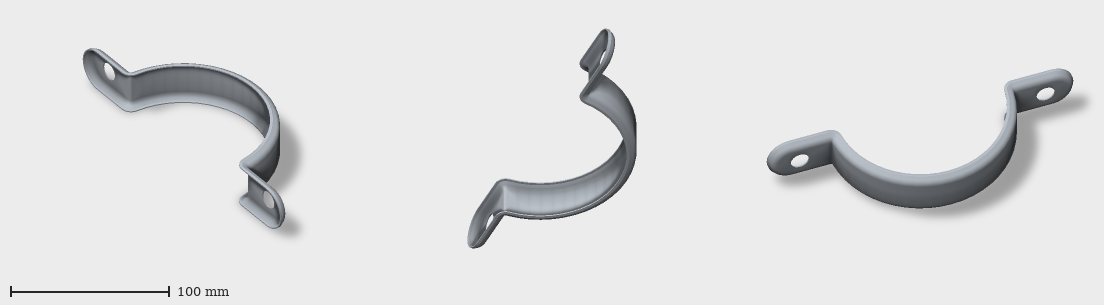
import cadquery as cq
import math

length = 204.0
width = 30.0
height = 62.2

depth = 6.3
sheet = 0.8
taper_depth = 4.5
taper_angle = math.radians(30)
edge_radius = 4.0

arch_radius = 61.0
bend_radius = 0.8

hole_diameter = 12.0
hole_spacing = 164.0

bend_rise = depth + bend_radius - (height - arch_radius)
bend_x = math.sqrt((arch_radius + bend_radius) ** 2 - bend_rise ** 2)
turn_angle = 90 - math.degrees(math.asin(bend_rise / (arch_radius + bend_radius)))

half_width = width / 2
leg_end_x = length / 2 - half_width


def half_section(start_x, back_y):
    """Half of the channel section, standing across the strap with its back at Y = `back_y`.

    Local x runs from the back toward the open side and local y runs along Z from the mid-plane.
    """
    taper_run = taper_depth * math.tan(taper_angle)
    corner_turn = math.pi / 2 - taper_angle
    round_center_y = half_width - taper_run - edge_radius * math.tan(corner_turn / 2)

    def on_rounding(radius, angle):
        return edge_radius - radius * math.cos(angle), round_center_y + radius * math.sin(angle)

    inner_radius = edge_radius - sheet
    inner_rim_start = taper_depth + sheet * math.tan(taper_angle / 2)
    plane = cq.Plane(origin=(start_x, back_y, 0), xDir=(0, -1, 0), normal=(-1, 0, 0))
    return (
        cq.Workplane(plane)
        .lineTo(0, round_center_y)
        .threePointArc(on_rounding(edge_radius, corner_turn / 2), on_rounding(edge_radius, corner_turn))
        .lineTo(taper_depth, half_width)
        .lineTo(depth, half_width)
        .lineTo(depth, half_width - sheet)
        .lineTo(inner_rim_start, half_width - sheet)
        .lineTo(*on_rounding(inner_radius, corner_turn))
        .threePointArc(on_rounding(inner_radius, corner_turn / 2), (sheet, round_center_y))
        .lineTo(sheet, 0)
        .close()
    )


def quarter_strap():
    """The strap on the +X side and above the mid-plane."""
    arch = half_section(0, height).revolve(turn_angle, (arch_radius, 0), (arch_radius, -1))
    bend = half_section(bend_x, depth).revolve(turn_angle, (-bend_radius, 0), (-bend_radius, -1))
    leg = half_section(bend_x, depth).extrude(bend_x - leg_end_x)
    leg_end = half_section(leg_end_x, depth).revolve(90, (0, 0), (-1, 0))
    return arch.union(bend).union(leg).union(leg_end)


def mounting_holes():
    return (
        cq.Workplane("XZ")
        .pushPoints([(-hole_spacing / 2, 0), (hole_spacing / 2, 0)])
        .circle(hole_diameter / 2)
        .extrude(-depth)
    )


half_strap = quarter_strap().mirror("XY", union=True)
strap = half_strap.mirror("YZ", union=True)
result = strap.cut(mounting_holes())